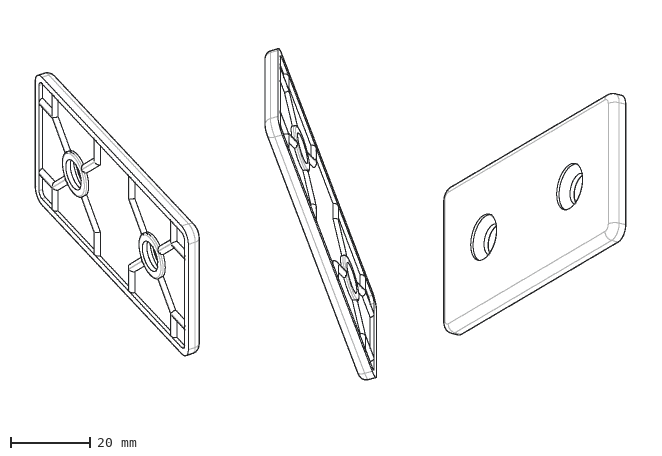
import cadquery as cq
import math

length = 80.0
thickness = 4.0
height = 40.0
corner_radius = 3.5
back_edge_radius = 2.0

rim_width = 2.0
pocket_depth = 1.0
pocket_corner_radius = corner_radius - rim_width

boss_spacing = 40.0
boss_diameter = 12.2
boss_edge_radius = 0.4
hole_diameter = 8.0
head_diameter = 12.0
head_recess_depth = 0.7
countersink_depth = (head_diameter - hole_diameter) / 2

rib_height = pocket_depth
rib_crest_width = 0.1
rib_edge_radius = 1.1
rib_edge_width = math.sqrt(rib_edge_radius**2 - (rib_edge_radius - rib_height) ** 2)
rib_bend_spacing = 22.0
rib_reach = rib_bend_spacing / 2

back_y = thickness / 2
floor_y = pocket_depth - thickness / 2
boss_centers = [-boss_spacing / 2, boss_spacing / 2]


def front_plane(y, x=0.0):
    """Sketch plane facing -Y at the given depth, centred on x."""
    return cq.Workplane("XZ", origin=(x, y, 0))


def plate():
    body = front_plane(back_y).rect(length, height).extrude(thickness)
    body = body.edges("|Y").fillet(corner_radius)
    body = body.faces(">Y").edges().fillet(back_edge_radius)
    pocket_length = length - 2 * rim_width
    pocket_height = height - 2 * rim_width
    pocket = front_plane(floor_y).rect(pocket_length, pocket_height).extrude(pocket_depth)
    return body.cut(pocket.edges("|Y").fillet(pocket_corner_radius))


def boss_blank(x):
    """Plain cylinder that a boss fills, from the pocket floor to the rim level."""
    return front_plane(floor_y, x).circle(boss_diameter / 2).extrude(pocket_depth)


def boss(x):
    return boss_blank(x).faces("<Y").edges().fillet(boss_edge_radius)


def rib(points):
    """Round-topped rib with mitred bends that follows (x, z) points on the pocket floor."""
    path = cq.Workplane("XY").polyline([(x, floor_y, z) for x, z in points])
    start_x, start_z = points[0]
    next_x, next_z = points[1]
    along = cq.Vector(next_x - start_x, 0, next_z - start_z)
    section = cq.Plane(origin=(start_x, floor_y, start_z), xDir=(0, -1, 0), normal=along.toTuple())
    crest_half = rib_crest_width / 2
    half = crest_half + rib_edge_width
    profile = (
        cq.Workplane(section)
        .moveTo(0, -half)
        .radiusArc((rib_height, -crest_half), -rib_edge_radius)
        .lineTo(rib_height, crest_half)
        .radiusArc((0, half), -rib_edge_radius)
        .close()
    )
    return profile.sweep(path, transition="right")


def boss_ribs(x):
    """Bent ribs from one boss to the long rims, and from its outer side to the short rim."""
    outward = 1 if x > 0 else -1
    rim_middle_x = outward * (length - rim_width) / 2
    rim_middle_z = (height - rim_width) / 2
    ribs = cq.Workplane("XY")
    for side_z in (-1, 1):
        node_z = side_z * rib_reach
        for side_x in (-1, 1):
            node_x = x + side_x * rib_reach
            ribs = ribs.add(rib([(x, 0), (node_x, node_z), (node_x, side_z * rim_middle_z)]))
        outer_x = x + outward * rib_reach
        ribs = ribs.add(rib([(x, 0), (outer_x, node_z), (rim_middle_x, node_z)]))
    return ribs.combine()


def countersunk_hole(x):
    bore_radius = hole_diameter / 2
    head_radius = head_diameter / 2
    cone_y = back_y - head_recess_depth
    bore = front_plane(back_y, x).circle(bore_radius).extrude(thickness)
    recess = front_plane(back_y, x).circle(head_radius).extrude(head_recess_depth)
    mouth = front_plane(cone_y, x).circle(head_radius)
    cone = mouth.workplane(offset=countersink_depth).circle(bore_radius).loft()
    return bore.union(recess).union(cone)


result = plate()
for center_x in boss_centers:
    result = result.union(boss_ribs(center_x).cut(boss_blank(center_x)))
    result = result.union(boss(center_x))
    result = result.cut(countersunk_hole(center_x))